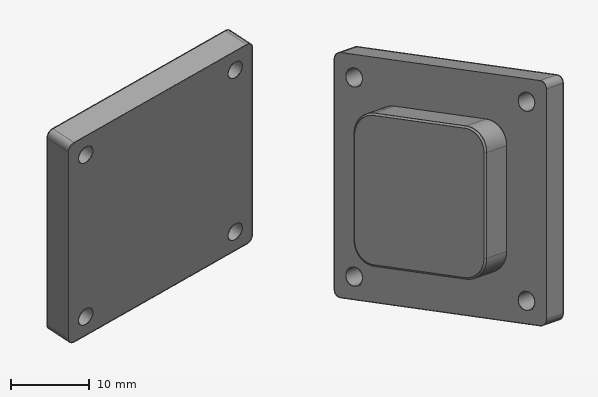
import cadquery as cq

plate_side = 32.0
plate_thickness = 4.0
plate_corner_radius = 1.0

pad_side = 20.0
pad_height = 5.0
pad_corner_radius = 3.1
pad_edge_chamfer = 0.25

hole_diameter = 2.5
hole_spacing = 26.0


def rounded_square_block(side, thickness, corner_radius):
    """Square block centred on the X axis, extending from X = 0 towards -X."""
    return (
        cq.Workplane("YZ")
        .rect(side, side)
        .extrude(-thickness)
        .edges("|X")
        .fillet(corner_radius)
    )


plate = rounded_square_block(plate_side, plate_thickness, plate_corner_radius)

pad = (
    rounded_square_block(pad_side, pad_height, pad_corner_radius)
    .faces("<X")
    .chamfer(pad_edge_chamfer)
    .translate((-plate_thickness, 0, 0))
)

holes = (
    cq.Workplane("YZ")
    .rect(hole_spacing, hole_spacing, forConstruction=True)
    .vertices()
    .circle(hole_diameter / 2)
    .extrude(-plate_thickness)
)

result = plate.union(pad).cut(holes)